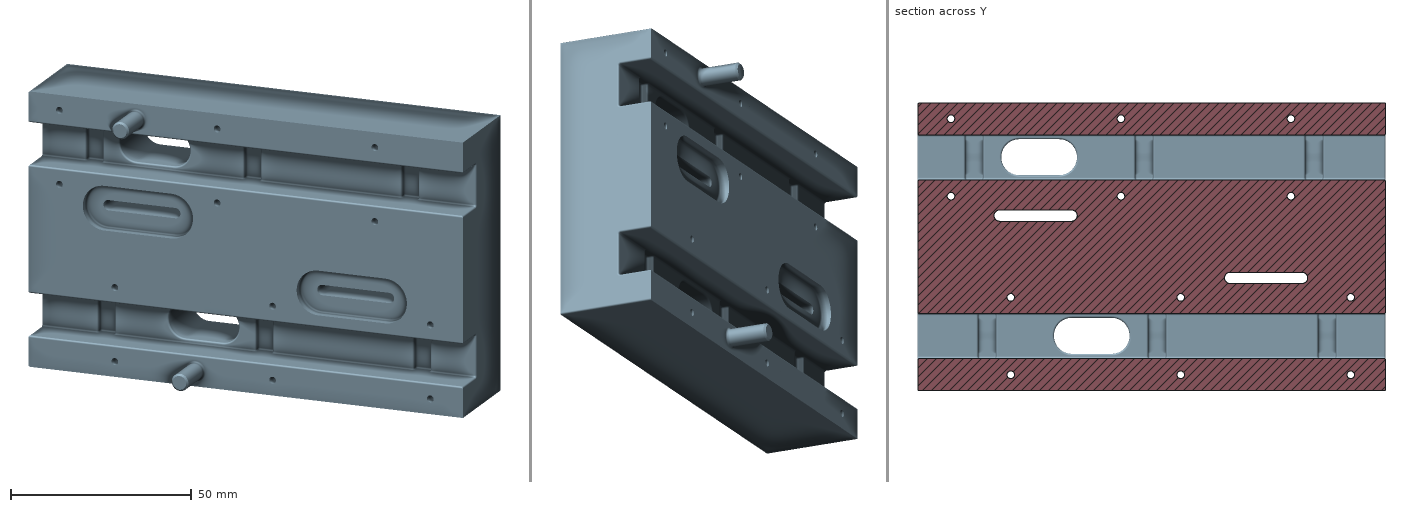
import cadquery as cq
BLOCK_LENGTH = 130.0
BLOCK_DEPTH = 28.0
BLOCK_HEIGHT = 80.0
EDGE_FILLET = 0.5

CHANNEL_Z = 24.8
CHANNEL_WIDTH = 12.4
CHANNEL_DEPTH = 10.0
CHANNEL_FILLET = 0.5
CHANNEL_EDGE_FILLET = 0.5

PATTERN_X = -0.25
PITCH = 47.2

GROOVE_FIRST_X = -49.0
GROOVE_WIDTH = 5.0
GROOVE_DEPTH = 2.0
GROOVE_COUNT = 3

HOLE_DIAMETER = 2.0
HOLE_FIRST_X = -55.5
HOLE_OFFSET_Z = 10.75
HOLE_COUNT = 3

SLOT_X = -32.0
SLOT_Z = 8.65
SLOT_CENTRE_DISTANCE = 20.0
SLOT_WIDTH = 3.0
RECESS_WIDTH = 13.0
RECESS_DEPTH = 3.0
RECESS_FILLET = 0.5

WINDOW_X = (-31.2, -16.6)
WINDOW_CENTRE_DISTANCE = 11.0
WINDOW_WIDTH = 10.0
WINDOW_FILLET = 0.5

PIN_X = (-32.8, -15.0)
PIN_Z = CHANNEL_Z + HOLE_OFFSET_Z
PIN_DIAMETER = 5.0
PIN_LENGTH = 12.0
PIN_CHAMFER = 0.5
PIN_FOOT_FILLET = 0.5

TOLERANCE = 0.01
SIDES = (1, -1)


def front_plane(y):
    """Sketch plane at depth y: local x is X, local y is Z, extruding goes toward -Y."""
    return cq.Workplane("XZ", origin=(0, y, 0))


def turned_x(x, side):
    """X of a feature given for the upper half, turned half a turn for the lower half."""
    return PATTERN_X + side * x


def obround(x, z, centre_distance, width, y_front, y_back):
    return (
        front_plane(y_back)
        .center(x, z)
        .slot2D(centre_distance + width, width)
        .extrude(y_back - y_front)
    )


def make_block():
    block = cq.Workplane("XY").box(BLOCK_LENGTH, BLOCK_DEPTH, BLOCK_HEIGHT, centered=(True, False, True))
    return block.edges("|Y and <X").fillet(EDGE_FILLET)


def groove_positions(side):
    return [turned_x(GROOVE_FIRST_X + i * PITCH, side) for i in range(GROOVE_COUNT)]


def channel_cutter(side):
    """Channel with its cross grooves; floor and groove edges are rounded."""
    z = side * CHANNEL_Z
    length = BLOCK_LENGTH
    cutter = front_plane(CHANNEL_DEPTH).center(0, z).rect(length, CHANNEL_WIDTH).extrude(CHANNEL_DEPTH)
    for x in groove_positions(side):
        groove_floor = CHANNEL_DEPTH + GROOVE_DEPTH
        groove = front_plane(groove_floor).center(x, z).rect(GROOVE_WIDTH, CHANNEL_WIDTH).extrude(groove_floor)
        cutter = cutter.union(groove)
    cutter = cutter.clean()
    x_inside = length / 2 - GROOVE_WIDTH
    inner = cq.selectors.BoxSelector(
        (-x_inside, CHANNEL_DEPTH - TOLERANCE, -BLOCK_HEIGHT),
        (x_inside, BLOCK_DEPTH, BLOCK_HEIGHT),
    )
    cutter = cutter.edges(inner).edges("|Z").fillet(CHANNEL_FILLET)
    return cutter.edges(inner).edges("|X").fillet(CHANNEL_FILLET)


def cut_channels(body):
    """Cut both channels, then round their front edges and the edges at their two ends."""
    half = BLOCK_LENGTH / 2
    for side in SIDES:
        body = body.cut(channel_cutter(side))
        z_low = side * CHANNEL_Z - CHANNEL_WIDTH / 2 - TOLERANCE
        z_high = side * CHANNEL_Z + CHANNEL_WIDTH / 2 + TOLERANCE
        y_high = CHANNEL_DEPTH + TOLERANCE
        mouth = cq.selectors.BoxSelector((-half, -TOLERANCE, z_low), (half, TOLERANCE, z_high))
        left_end = cq.selectors.BoxSelector(
            (-half - TOLERANCE, TOLERANCE, z_low),
            (-half + TOLERANCE, y_high, z_high),
        )
        right_end = cq.selectors.BoxSelector(
            (half - TOLERANCE, TOLERANCE, z_low),
            (half + TOLERANCE, y_high, z_high),
        )
        body = body.edges(mouth + left_end + right_end).fillet(CHANNEL_EDGE_FILLET)
    return body


def cut_recessed_slots(body):
    for side in SIDES:
        x = turned_x(SLOT_X, side)
        z = side * SLOT_Z
        recess = obround(x, z, SLOT_CENTRE_DISTANCE, RECESS_WIDTH, 0, RECESS_DEPTH)
        recess = recess.faces(">Y").edges().fillet(RECESS_FILLET)
        slot = obround(x, z, SLOT_CENTRE_DISTANCE, SLOT_WIDTH, 0, BLOCK_DEPTH)
        body = body.cut(recess).cut(slot)
    return body


def cut_windows(body):
    """Obround openings from the channel floors through the back, with a rounded front rim."""
    for side, x in zip(SIDES, WINDOW_X):
        z = side * CHANNEL_Z
        window = obround(x, z, WINDOW_CENTRE_DISTANCE, WINDOW_WIDTH, 0, BLOCK_DEPTH)
        body = body.cut(window)
        half_length = (WINDOW_CENTRE_DISTANCE + WINDOW_WIDTH) / 2 + TOLERANCE
        half_width = WINDOW_WIDTH / 2 + TOLERANCE
        rim = cq.selectors.BoxSelector(
            (x - half_length, CHANNEL_DEPTH - TOLERANCE, z - half_width),
            (x + half_length, CHANNEL_DEPTH + TOLERANCE, z + half_width),
        )
        body = body.edges(rim).fillet(WINDOW_FILLET)
    return body


def cut_holes(body):
    for side in SIDES:
        for i in range(HOLE_COUNT):
            x = turned_x(HOLE_FIRST_X + i * PITCH, side)
            for offset in (HOLE_OFFSET_Z, -HOLE_OFFSET_Z):
                z = side * CHANNEL_Z + offset
                hole = front_plane(BLOCK_DEPTH).center(x, z).circle(HOLE_DIAMETER / 2).extrude(BLOCK_DEPTH)
                body = body.cut(hole)
    return body


def add_pins(body):
    """Pins standing on the outer lands, flared at the foot and chamfered at the tip."""
    for side, x in zip(SIDES, PIN_X):
        z = side * PIN_Z
        pin = front_plane(0).center(x, z).circle(PIN_DIAMETER / 2).extrude(PIN_LENGTH)
        pin = pin.faces("<Y").chamfer(PIN_CHAMFER)
        body = body.union(pin)
        reach = PIN_DIAMETER / 2 + TOLERANCE
        foot = cq.selectors.BoxSelector(
            (x - reach, -TOLERANCE, z - reach),
            (x + reach, TOLERANCE, z + reach),
        )
        body = body.edges(foot).fillet(PIN_FOOT_FILLET)
    return body


result = make_block()
result = cut_channels(result)
result = cut_recessed_slots(result)
result = cut_windows(result)
result = cut_holes(result)
result = add_pins(result)